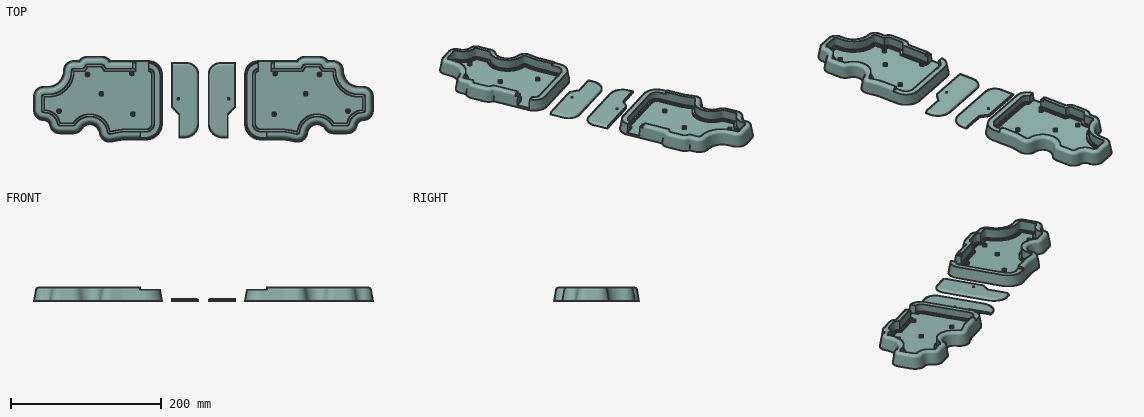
import cadquery as cq
import math

total_height = 18.0
plate_thickness = 3.0
shoulder_height = total_height - plate_thickness
floor_thickness = 3.0
ledge_height = 2.0

draft_angle = 10.0
rim_radius = 4.0
wall_offset = 13.5
ledge_width = 3.0

floor_left = -211.5
floor_right = -68.5
floor_back = 37.5
floor_front = -40.0

bump_back = 42.95
bump_left = -154.0
bump_right = -135.0
bump_slope_run = 3.5

back_scallop_x = -206.0
back_scallop_radius = 34.0

left_scallop_y = -36.0
left_scallop_radius = 21.5

lobe_front = -32.0
front_scallop_x = -150.5
front_scallop_y = -46.5
front_scallop_radius = 26.5

foot_y = -42.95
foot_slope_end = -109.0
foot_slope_radius = 38.2

back_corner_radius = 5.0
front_corner_radius = 8.0

opening_left = -90.0
opening_right = -72.5

standoff_diameter = 5.5
screw_hole_diameter = 3.0
standoff_centers = [(-154.0, 33.0), (-95.0, 34.0), (-135.5, 7.0), (-191.5, -15.7), (-93.5, -20.0)]

cover_back_left = -93.5
cover_front_left = -84.0
cover_step_back = -10.5
cover_step_front = -20.2
cover_clearance = 1.0
cover_hole_diameter = 2.0
cover_hole_x = -84.0
cover_hole_y = 0.5
cover_shift = 51.0

margin = 22.5


def arc_through(outline, center, radius, mid_angle, end):
    """Add an arc around the center that passes the given angle and stops at the end point."""
    angle = math.radians(mid_angle)
    middle = (center[0] + radius * math.cos(angle), center[1] + radius * math.sin(angle))
    return outline.threePointArc(middle, end)


def floor_outline():
    """Closed floor outline of the left tray, counterclockwise from its back left corner."""
    back_scallop = (back_scallop_x, floor_back)
    left_scallop = (floor_left, left_scallop_y)
    front_scallop = (front_scallop_x, front_scallop_y)
    left_lobe_back = floor_back - back_scallop_radius
    left_lobe_front = left_scallop_y + left_scallop_radius
    left_scallop_rise = lobe_front - left_scallop_y
    left_scallop_run = math.sqrt(left_scallop_radius**2 - left_scallop_rise**2)
    left_scallop_end = (floor_left + left_scallop_run, lobe_front)
    front_scallop_rise = lobe_front - front_scallop_y
    front_scallop_run = math.sqrt(front_scallop_radius**2 - front_scallop_rise**2)
    front_scallop_start = front_scallop_x - front_scallop_run
    end_rise = floor_front - front_scallop_y
    end_run = math.sqrt(front_scallop_radius**2 - end_rise**2)
    front_scallop_end = (front_scallop_x + end_run, floor_front)
    foot_left = front_scallop_x + end_run + (floor_front - foot_y) * end_rise / end_run

    slope_angle = math.atan2(floor_front - foot_y, foot_slope_end - foot_left)
    slope_tangent = foot_slope_radius * math.tan(slope_angle / 2)
    slope_arc_start = (
        foot_slope_end - slope_tangent * math.cos(slope_angle),
        floor_front - slope_tangent * math.sin(slope_angle),
    )
    slope_arc_end = (foot_slope_end + slope_tangent, floor_front)

    outline = cq.Workplane("XY").moveTo(back_scallop_x + back_scallop_radius, floor_back)
    outline = arc_through(outline, back_scallop, back_scallop_radius, -45, (back_scallop_x, left_lobe_back))
    outline = outline.lineTo(floor_left, left_lobe_back)
    outline = outline.lineTo(floor_left, left_lobe_front)
    outline = arc_through(outline, left_scallop, left_scallop_radius, 45, left_scallop_end)
    outline = outline.lineTo(front_scallop_start, lobe_front)
    outline = arc_through(outline, front_scallop, front_scallop_radius, 90, front_scallop_end)
    outline = outline.lineTo(foot_left, foot_y)
    outline = outline.lineTo(*slope_arc_start)
    outline = outline.tangentArcPoint(slope_arc_end, relative=False)
    outline = outline.lineTo(floor_right - front_corner_radius, floor_front)
    outline = outline.tangentArcPoint((floor_right, floor_front + front_corner_radius), relative=False)
    outline = outline.lineTo(floor_right, floor_back - back_corner_radius)
    outline = outline.tangentArcPoint((floor_right - back_corner_radius, floor_back), relative=False)
    outline = outline.lineTo(bump_right + bump_slope_run, floor_back)
    outline = outline.lineTo(bump_right, bump_back)
    outline = outline.lineTo(bump_left, bump_back)
    outline = outline.lineTo(bump_left - bump_slope_run, floor_back)
    return outline.close()


def drafted_block():
    """Solid tray without its cavity: drafted sides and a rounded top edge."""
    block = floor_outline().offset2D(wall_offset).extrude(total_height, taper=draft_angle)
    return block.faces(">Z").edges().fillet(rim_radius)


def cover_outline(clearance=0.0):
    """Plan of the lowered right end, open beyond the tray on three sides.

    The clearance moves its left side away from the tray wall.
    """
    back_left = cover_back_left + clearance
    front_left = cover_front_left + clearance
    back = floor_back + wall_offset + margin
    front = floor_front - wall_offset - margin
    right = floor_right + wall_offset + margin
    return cq.Workplane("XY", origin=(0, 0, shoulder_height)).polyline([
        (back_left, back),
        (back_left, cover_step_back),
        (front_left, cover_step_front),
        (front_left, front),
        (right, front),
        (right, back),
    ]).close()


def make_tray(block):
    """Left tray: a walled floor with a ledge, standoffs, a lowered end and a cable opening."""
    ledge_top = floor_thickness + ledge_height
    lower_cavity = floor_outline().extrude(total_height).translate((0, 0, floor_thickness))
    upper_cavity = floor_outline().offset2D(ledge_width).extrude(total_height).translate((0, 0, ledge_top))
    lowered_end = cover_outline().extrude(plate_thickness + margin)

    opening_front = floor_back - ledge_width
    opening_back = floor_back + wall_offset + margin
    opening = cq.Workplane("XY").box(
        opening_right - opening_left, opening_back - opening_front, total_height, centered=False
    ).translate((opening_left, opening_front, floor_thickness))

    tray = block.cut(lower_cavity).cut(upper_cavity).cut(lowered_end).cut(opening)

    standoffs = (
        cq.Workplane("XY", origin=(0, 0, floor_thickness))
        .pushPoints(standoff_centers)
        .circle(standoff_diameter / 2)
        .circle(screw_hole_diameter / 2)
        .extrude(ledge_height)
    )
    return tray.union(standoffs)


def make_cover(block):
    """Left cover plate: the part of the block above the lowered end, laid down beside the tray."""
    cover = block.intersect(cover_outline(cover_clearance).extrude(plate_thickness))
    hole = (
        cq.Workplane("XY", origin=(cover_hole_x, cover_hole_y, shoulder_height))
        .circle(cover_hole_diameter / 2)
        .extrude(plate_thickness)
    )
    return cover.cut(hole).translate((cover_shift, 0, -shoulder_height))


block = drafted_block()
left_bodies = [make_tray(block), make_cover(block)]

bodies = []
for body in left_bodies:
    bodies.append(body.val())
    bodies.append(body.mirror("YZ").val())

result = cq.Compound.makeCompound(bodies)